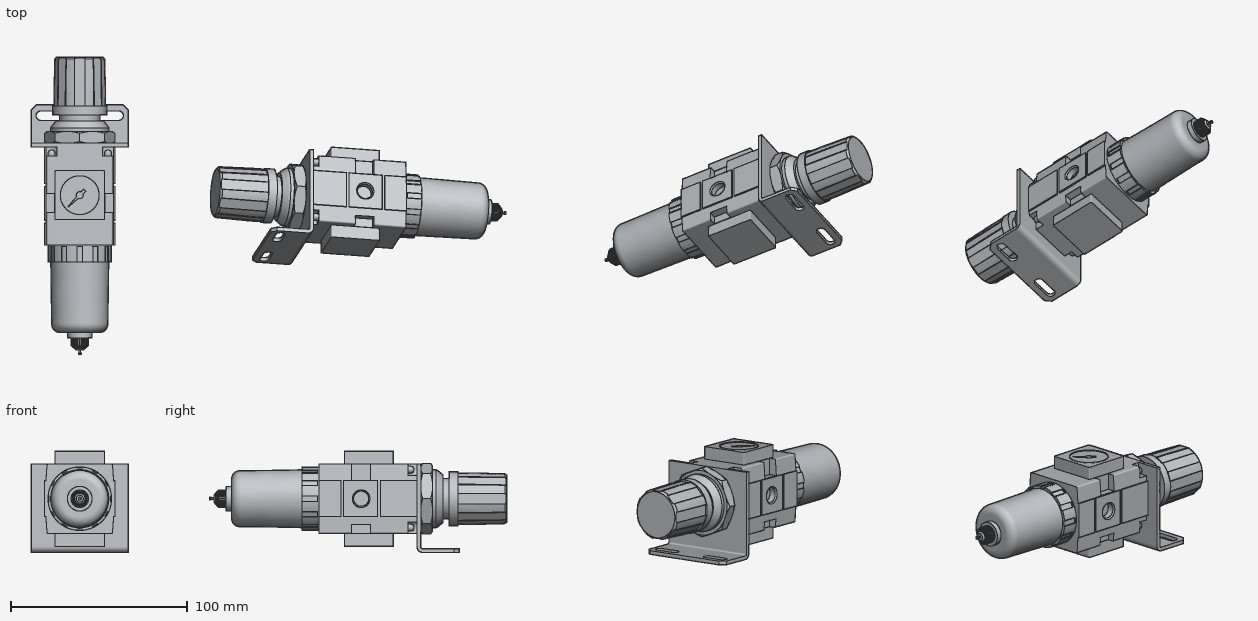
import cadquery as cq


knob_end = 82.6
knob_taper_start = 62.7
knob_base = 54.8
knob_collar_bottom = 49.9
bonnet_top = 46.5
bonnet_cone_bottom = 43.4
bonnet_rim_bottom = 42.4
nut_top = 40.4
bracket_back = 33.8
bracket_thickness = 2.2
body_top = bracket_back - bracket_thickness
body_bottom = -23.9
ring_bottom = -33.4
bowl_end = -73.5
drain_boss_end = -76.5
drain_knob_end = -80.7
drain_shoulder = -81.5
drain_tip = -83.4
pin_head_start = -85.0
pin_end = -85.9

knob_radius = 15.0
knob_end_radius = 14.5
knob_edge = 1.2
knob_flat_count = 8
knob_flat_width = 6.1
knob_flat_base = 14.25
knob_flat_end = 13.75
knob_collar_radius = 15.4
neck_radius = 23 / 2

bonnet_radius = 33 / 2
bonnet_cone_radius = 16.0
bonnet_top_radius = 13.5
nut_corner_diameter = 40
nut_sides = 8
nut_bevel_radial = 1.4
nut_bevel_axial = 1.0

bracket_width = 55
bracket_plate_top = 19.8
bracket_foot_bottom = -30.5
bracket_foot_end = 55.7
bracket_bend_radius = 1.0
foot_corner_cut = 3.0
slot_width = 5.2
slot_length = 15.4
slot_spacing = 34
slot_y = 49.4

body_half_height = 19.8
body_half_width = 18.5
waist_half_width = 19.2
strip_half_height = 10.2
strip_half_width = 20.0
body_edge_radius = 0.9
strip_groove_width = 1.5
strip_groove_depth = strip_half_width - waist_half_width
strip_groove_centers = (10.1, -10.7)
notch_width = 10.8
notch_inner_x = 14.4
upper_notch_floor = 10.4
lower_notch_floor = -14.7
port_diameter = 8.57
port_mouth_diameter = 10
port_mouth_depth = 0.8
port_depth = 4.5

screw_x = 16.0
screw_z = 16.4
screw_diameter = 4
screw_shank_length = 1.5
pocket_radius = 3.2
pocket_depth = 5.1

gauge_width = 28.2
gauge_length = 27.8
gauge_center_y = 4.35
gauge_half_height = 27
gauge_corner_radius = 0.5
dial_diameter = 22
dial_depth = 0.5
needle_thickness = 0.2
needle_length = 9.1
needle_tail_length = 4.0
needle_hub_diameter = 4
needle_root_width = 1.7
needle_point_width = 0.3
needle_tail_width = 1.7
needle_angle = 225

ring_radius = 36 / 2
ring_slot_count = 12
ring_slot_width = 3.2
ring_slot_depth = 0.7
ring_lip = 0.9
bowl_top_radius = 16.5
bowl_bottom_radius = 15.9
bowl_corner_radius = 5.0
drain_boss_radius = 14 / 2
drain_knob_radius = 10 / 2
drain_shoulder_radius = 8.57 / 2
drain_tip_radius = 4 / 2
knurl_count = 24
knurl_depth = 0.4
knurl_width = 0.5
knurl_runout = 0.3
pin_radius = 1.1 / 2
pin_head_radius = 1.7 / 2

overlap = 0.5


def turned(points):
    """Revolve a closed (radius, y) outline around the main axis."""
    outline = cq.Workplane("XY").polyline(points).close()
    return outline.revolve(360, (0, 0), (0, 1))


def box(x0, x1, y0, y1, z0, z1):
    """Box between two opposite corners."""
    return cq.Workplane("XY").box(x1 - x0, y1 - y0, z1 - z0, centered=False).translate((x0, y0, z0))


def plane_at_y(y):
    """Workplane facing +Y whose local axes are X and -Z."""
    return cq.Workplane(cq.Plane(origin=(0, y, 0), xDir=(1, 0, 0), normal=(0, 1, 0)))


def cut_around_axis(part, cutter, count):
    """Cut equally spaced copies of a cutter around the main axis."""
    for i in range(count):
        part = part.cut(cutter.rotate((0, 0, 0), (0, 1, 0), i * 360 / count))
    return part


def make_knob():
    grip = turned([
        (0, knob_base - overlap),
        (knob_radius, knob_base - overlap),
        (knob_radius, knob_taper_start),
        (knob_end_radius, knob_end - knob_edge),
        (knob_end_radius - knob_edge, knob_end),
        (0, knob_end),
    ])
    clearance_radius = knob_radius + overlap
    channel = (
        cq.Workplane("YZ", origin=(-knob_flat_width / 2, 0, 0))
        .polyline([
            (knob_base, knob_flat_base),
            (knob_end, knob_flat_end),
            (knob_end, clearance_radius),
            (knob_base, clearance_radius),
        ])
        .close()
        .extrude(knob_flat_width)
    )
    grip = cut_around_axis(grip, channel, knob_flat_count)
    collar_and_neck = turned([
        (0, bonnet_top - overlap),
        (neck_radius, bonnet_top - overlap),
        (neck_radius, knob_collar_bottom),
        (knob_collar_radius, knob_collar_bottom),
        (knob_collar_radius, knob_base),
        (0, knob_base),
    ])
    return grip.union(collar_and_neck)


def make_bonnet():
    return turned([
        (0, nut_top - overlap),
        (bonnet_radius, nut_top - overlap),
        (bonnet_radius, bonnet_rim_bottom),
        (bonnet_cone_radius, bonnet_cone_bottom),
        (bonnet_top_radius, bonnet_top),
        (0, bonnet_top),
    ])


def make_nut():
    corner_radius = nut_corner_diameter / 2
    bevel_radius = corner_radius - nut_bevel_radial
    octagon = plane_at_y(bracket_back).polygon(nut_sides, nut_corner_diameter).extrude(nut_top - bracket_back)
    bevels = turned([
        (0, bracket_back),
        (bevel_radius, bracket_back),
        (corner_radius, bracket_back + nut_bevel_axial),
        (corner_radius, nut_top - nut_bevel_axial),
        (bevel_radius, nut_top),
        (0, nut_top),
    ])
    return octagon.intersect(bevels)


def make_bracket():
    foot_top = bracket_foot_bottom + bracket_thickness
    half_width = bracket_width / 2
    bracket = (
        cq.Workplane("YZ", origin=(-half_width, 0, 0))
        .moveTo(body_top, bracket_plate_top)
        .lineTo(body_top, bracket_foot_bottom)
        .lineTo(bracket_foot_end, bracket_foot_bottom)
        .lineTo(bracket_foot_end, foot_top)
        .lineTo(bracket_back, foot_top)
        .lineTo(bracket_back, bracket_plate_top)
        .close()
        .extrude(bracket_width)
    )
    inner_bend = cq.selectors.NearestToPointSelector((0, bracket_back, foot_top))
    outer_bend = cq.selectors.NearestToPointSelector((0, body_top, bracket_foot_bottom))
    bracket = bracket.edges(inner_bend).fillet(bracket_bend_radius)
    bracket = bracket.edges(outer_bend).fillet(bracket_bend_radius + bracket_thickness)
    bracket = bracket.faces(">Y").edges("|Z").chamfer(foot_corner_cut)
    slots = (
        cq.Workplane("XY", origin=(0, slot_y, bracket_foot_bottom))
        .pushPoints([(-slot_spacing / 2, 0), (slot_spacing / 2, 0)])
        .slot2D(slot_length, slot_width)
        .extrude(bracket_thickness)
    )
    return bracket.cut(slots)


def make_body():
    length = body_top - body_bottom
    body = (
        plane_at_y(body_bottom)
        .polyline([
            (body_half_width, body_half_height),
            (waist_half_width, strip_half_height),
            (waist_half_width, -strip_half_height),
            (body_half_width, -body_half_height),
            (-body_half_width, -body_half_height),
            (-waist_half_width, -strip_half_height),
            (-waist_half_width, strip_half_height),
            (-body_half_width, body_half_height),
        ])
        .close()
        .extrude(length)
    )
    body = body.faces(">Z or <Z").edges("|Y").fillet(body_edge_radius)
    strips = box(-strip_half_width, strip_half_width, body_bottom, body_top,
                 -strip_half_height, strip_half_height)
    body = body.union(strips)
    for side in (-1, 1):
        body = cut_side_details(body, side)
    return body


def cut_side_details(body, side):
    """Strip grooves, notches and the port on one X side (side is -1 or +1)."""
    outer = side * strip_half_width
    groove_floor = outer - side * strip_groove_depth
    x0, x1 = sorted((groove_floor, outer))
    for y in strip_groove_centers:
        body = body.cut(box(x0, x1, y - strip_groove_width / 2, y + strip_groove_width / 2,
                            -strip_half_height, strip_half_height))
    x0, x1 = sorted((side * notch_inner_x, outer))
    for z0, z1 in ((upper_notch_floor, body_half_height), (-body_half_height, lower_notch_floor)):
        body = body.cut(box(x0, x1, -notch_width / 2, notch_width / 2, z0, z1))
    mouth_plane = cq.Plane(origin=(outer, 0, 0), xDir=(0, 1, 0), normal=(-side, 0, 0))
    bore = cq.Workplane(mouth_plane).circle(port_diameter / 2).extrude(port_depth)
    mouth = (
        cq.Workplane(mouth_plane)
        .circle(port_mouth_diameter / 2)
        .workplane(offset=port_mouth_depth)
        .circle(port_diameter / 2)
        .loft()
    )
    return body.cut(bore).cut(mouth)


def make_screw_pocket(side_x, side_z):
    """Rounded pocket that opens to the side and to the top or bottom of the body."""
    floor_y = body_top - pocket_depth
    x = side_x * screw_x
    z = side_z * screw_z
    round_end = plane_at_y(floor_y).center(x, -z).circle(pocket_radius).extrude(pocket_depth)
    reach = 2 * pocket_radius
    x0, x1 = sorted((x, x + side_x * reach))
    z0, z1 = sorted((z - side_z * pocket_radius, z + side_z * reach))
    pocket = round_end.union(box(x0, x1, floor_y, body_top, z0, z1))
    x0, x1 = sorted((x - side_x * pocket_radius, x + side_x * reach))
    z0, z1 = sorted((z, z + side_z * reach))
    return pocket.union(box(x0, x1, floor_y, body_top, z0, z1))


def make_screw(side_x, side_z):
    """Cylindrical screw end with a hemispherical tip, standing on the pocket floor."""
    radius = screw_diameter / 2
    floor_y = body_top - pocket_depth
    dome_y = floor_y + screw_shank_length
    return (
        cq.Workplane("XY")
        .moveTo(0, floor_y - overlap)
        .lineTo(radius, floor_y - overlap)
        .lineTo(radius, dome_y)
        .radiusArc((0, dome_y + radius), -radius)
        .close()
        .revolve(360, (0, 0), (0, 1))
        .translate((side_x * screw_x, 0, side_z * screw_z))
    )


def make_gauge_block():
    """Gauge housing above and rear cover below, as one block through the body."""
    block = (
        cq.Workplane("XY", origin=(0, gauge_center_y, 0))
        .box(gauge_width, gauge_length, 2 * gauge_half_height)
        .edges("|Z")
        .fillet(gauge_corner_radius)
    )
    dial_floor = gauge_half_height - dial_depth
    floor_plane = cq.Workplane("XY", origin=(0, gauge_center_y, dial_floor))
    recess = floor_plane.circle(dial_diameter / 2).extrude(dial_depth)
    pointer = floor_plane.polyline([
        (0, -needle_root_width / 2),
        (needle_length, -needle_point_width / 2),
        (needle_length, needle_point_width / 2),
        (0, needle_root_width / 2),
    ]).close().extrude(needle_thickness)
    hub = floor_plane.circle(needle_hub_diameter / 2).extrude(needle_thickness)
    tail = (
        floor_plane.center(-needle_tail_length / 2, 0)
        .rect(needle_tail_length, needle_tail_width)
        .extrude(needle_thickness)
    )
    needle = pointer.union(hub).union(tail).rotate(
        (0, gauge_center_y, 0), (0, gauge_center_y, 1), needle_angle)
    return block.cut(recess).union(needle)


def make_ring():
    ring = turned([
        (0, ring_bottom),
        (ring_radius, ring_bottom),
        (ring_radius, body_bottom + overlap),
        (0, body_bottom + overlap),
    ])
    slot = box(-ring_slot_width / 2, ring_slot_width / 2, ring_bottom, body_bottom - ring_lip,
               ring_radius - ring_slot_depth, ring_radius + overlap)
    return cut_around_axis(ring, slot, ring_slot_count)


def make_bowl():
    bowl = turned([
        (0, ring_bottom + overlap),
        (bowl_top_radius, ring_bottom + overlap),
        (bowl_bottom_radius, bowl_end),
        (0, bowl_end),
    ])
    return bowl.faces("<Y").edges().fillet(bowl_corner_radius)


def make_drain():
    drain = turned([
        (0, bowl_end + overlap),
        (drain_boss_radius, bowl_end + overlap),
        (drain_boss_radius, drain_boss_end),
        (drain_knob_radius, drain_boss_end),
        (drain_knob_radius, drain_knob_end),
        (drain_shoulder_radius, drain_shoulder),
        (drain_tip_radius, drain_tip),
        (pin_radius, drain_tip),
        (pin_radius, pin_head_start),
        (pin_head_radius, pin_head_start),
        (pin_head_radius, pin_end),
        (0, pin_end),
    ])
    clearance_radius = drain_knob_radius + overlap
    groove = (
        cq.Workplane("YZ", origin=(-knurl_width / 2, 0, 0))
        .polyline([
            (drain_boss_end, drain_knob_radius - knurl_depth),
            (drain_knob_end, drain_knob_radius - knurl_depth),
            (drain_shoulder, drain_shoulder_radius - knurl_depth),
            (drain_tip, drain_tip_radius + knurl_runout),
            (drain_tip, clearance_radius),
            (drain_boss_end, clearance_radius),
        ])
        .close()
        .extrude(knurl_width)
    )
    return cut_around_axis(drain, groove, knurl_count)


body = make_body()
for side_x in (-1, 1):
    for side_z in (-1, 1):
        body = body.cut(make_screw_pocket(side_x, side_z))
        body = body.union(make_screw(side_x, side_z))

result = body.union(make_gauge_block())
for piece in (make_bracket(), make_nut(), make_bonnet(), make_knob(), make_ring(), make_bowl(), make_drain()):
    result = result.union(piece)